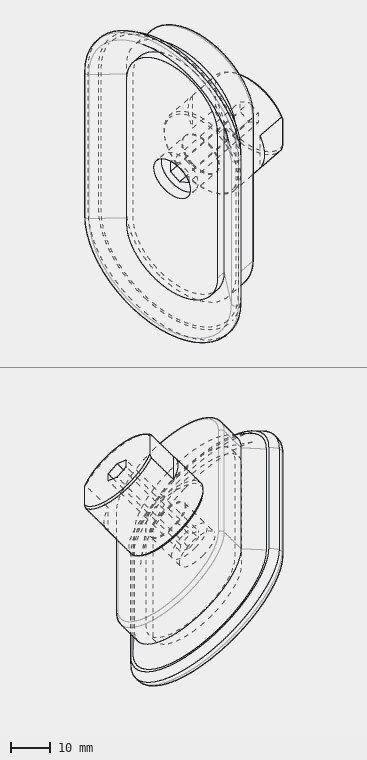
import cadquery as cq
import math

pad_length = 102.0
lip_radius = 25.0
straight_length = pad_length - 2 * lip_radius
pad_depth = 16.0
body_radius = 18.0
back_fillet = 1.0

lip_fillet = 1.0
lip_rim_depth = 2.0
lip_back_depth = 4.1
lip_back_radius = 23.3
cone_back_depth = 8.6
cone_front_radius = body_radius + cone_back_depth - lip_back_depth

floor_radius = 14.9
floor_depth = 5.0
wall_angle = math.radians(41)
bore_diameter = 12.0

total_depth = 35.3
hub_gap = 0.3
hub_front_depth = pad_depth + hub_gap
hub_diameter = 25.0
hub_chamfer = 0.5
spigot_front_depth = 8.0
hex_across_flats = 6.0
flat_spacing = 22.0
flat_length = 9.0


def pad_section():
    """Half section of the pad, from its centre plane out to the lip."""
    lip_centre = lip_radius - lip_fillet
    wall_top_radius = lip_centre - lip_fillet * math.sin(wall_angle)
    wall_top_depth = lip_fillet * (1 - math.cos(wall_angle))
    trough_depth = wall_top_depth + (wall_top_radius - floor_radius) * math.tan(wall_angle)
    return (
        cq.Workplane("XY")
        .moveTo(0, floor_depth)
        .lineTo(floor_radius, floor_depth)
        .lineTo(floor_radius, trough_depth)
        .lineTo(wall_top_radius, wall_top_depth)
        .threePointArc((lip_centre, 0), (lip_radius, lip_fillet))
        .lineTo(lip_radius, lip_rim_depth)
        .lineTo(lip_back_radius, lip_back_depth)
        .lineTo(cone_front_radius, lip_back_depth)
        .lineTo(body_radius, cone_back_depth)
        .lineTo(body_radius, pad_depth - back_fillet)
        .radiusArc((body_radius - back_fillet, pad_depth), -back_fillet)
        .lineTo(0, pad_depth)
        .close()
    )


def disc(diameter, front, back):
    """Cylinder on the Y axis between two depths."""
    return cq.Workplane("XZ", origin=(0, front, 0)).circle(diameter / 2).extrude(front - back)


def make_pad():
    right_half = pad_section().extrude(straight_length / 2, both=True)
    straight = right_half.union(right_half.mirror("YZ"))

    half_turn = pad_section().revolve(180, (0, 0, 0), (0, -1, 0))
    top_end = half_turn.translate((0, 0, straight_length / 2))

    pad = straight.union(top_end).union(top_end.mirror("XY"))
    return pad.cut(disc(bore_diameter, 0, pad_depth))


def make_fitting():
    hub = disc(hub_diameter, hub_front_depth, total_depth).faces("<Y or >Y").chamfer(hub_chamfer)

    flat_depth = (hub_diameter - flat_spacing) / 2
    for side in (-1, 1):
        hub = hub.cut(
            cq.Workplane("XY")
            .box(flat_depth, flat_length, hub_diameter)
            .translate((side * (flat_spacing + flat_depth) / 2, total_depth - flat_length / 2, 0))
        )

    fitting = hub.union(disc(bore_diameter, spigot_front_depth, hub_front_depth))

    hex_corner_diameter = hex_across_flats / math.cos(math.pi / 6)
    hexagon = (
        cq.Workplane("XZ")
        .transformed(rotate=(0, 0, 90))
        .polygon(6, hex_corner_diameter)
        .extrude(-total_depth)
    )
    return fitting.cut(hexagon)


pad = make_pad()
fitting = make_fitting()

result = cq.Compound.makeCompound([pad.val(), fitting.val()])